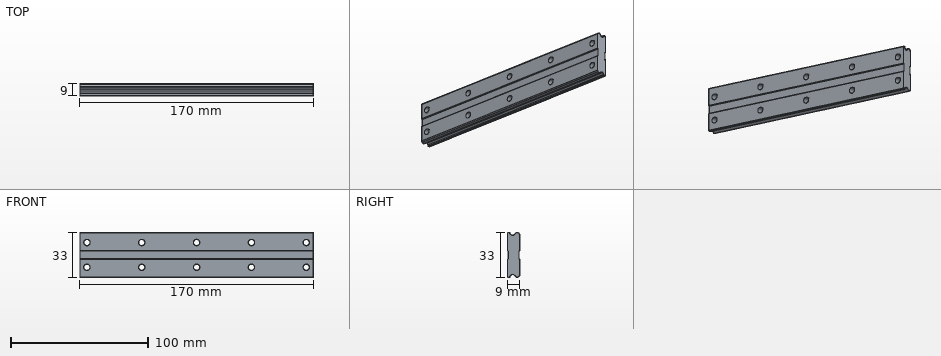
import cadquery as cq

length = 170.0
thickness = 9.0
height = 33.0
half_thickness = thickness / 2
half_height = height / 2

relief_width = 6.5
relief_depth = 0.5
relief_half_width = relief_width / 2
relief_floor_half_width = relief_half_width - relief_depth

ridge_bevel_width = 1.9
ridge_bevel_height = 1.5
ridge_break_width = 0.7
ridge_break_height = 0.8
ridge_flat = 0.5
lip_bevel = 0.5
lip_width = 1.9

channel_depth = 2.0
channel_center_y = -0.7
channel_floor_width = 1.4
channel_wall_height = 1.0
channel_slope_break_y = 1.2
channel_slope_break_depth = 1.0

hole_diameter = 4.5
hole_columns = 5
hole_spacing_x = 40.0
hole_spacing_z = 18.0


def half_profile():
    """Return the upper half of the YZ section, from the +Y side to the -Y side."""
    ridge_outer_y = half_thickness - ridge_bevel_width
    ridge_inner_y = ridge_outer_y - ridge_flat
    lip_inner_y = -half_thickness + lip_width
    floor_z = half_height - channel_depth
    wall_z = floor_z + channel_wall_height
    relief_y = half_thickness - relief_depth
    return (
        cq.Workplane("YZ")
        .moveTo(relief_y, 0)
        .lineTo(relief_y, relief_floor_half_width)
        .lineTo(half_thickness, relief_half_width)
        .lineTo(half_thickness, half_height - ridge_bevel_height)
        .lineTo(half_thickness - ridge_break_width, half_height - ridge_bevel_height + ridge_break_height)
        .lineTo(ridge_outer_y, half_height)
        .lineTo(ridge_inner_y, half_height)
        .lineTo(channel_slope_break_y, half_height - channel_slope_break_depth)
        .lineTo(channel_center_y + channel_floor_width / 2, floor_z)
        .lineTo(channel_center_y - channel_floor_width / 2, floor_z)
        .lineTo(lip_inner_y, wall_z)
        .lineTo(lip_inner_y, half_height)
        .lineTo(-half_thickness + lip_bevel, half_height)
        .lineTo(-half_thickness, half_height - lip_bevel)
        .lineTo(-half_thickness, relief_half_width)
        .lineTo(-relief_y, relief_floor_half_width)
        .lineTo(-relief_y, 0)
        .close()
    )


upper_half = half_profile().extrude(length / 2, both=True)
rail = upper_half.union(upper_half.mirror("XY"))

screw_holes = (
    cq.Workplane("XZ")
    .rarray(hole_spacing_x, hole_spacing_z, hole_columns, 2)
    .circle(hole_diameter / 2)
    .extrude(thickness, both=True)
)

result = rail.cut(screw_holes)